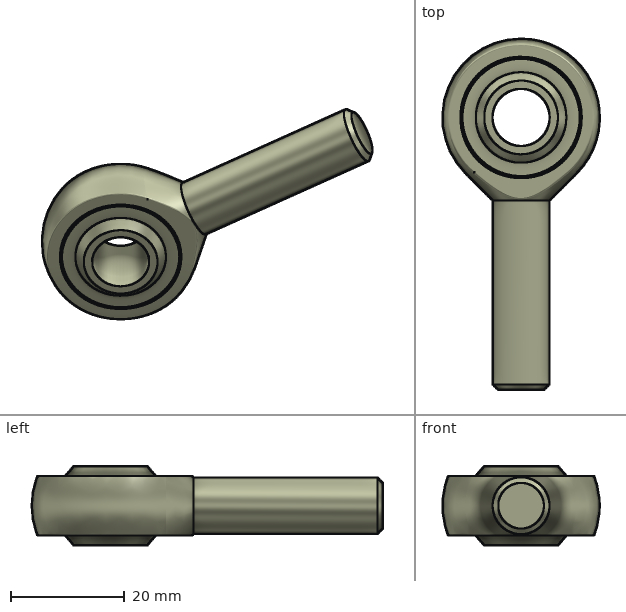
import cadquery as cq
import math

TOTAL_LENGTH = 61.9
HEAD_DIAMETER = 27.8
HEAD_THICKNESS = 10.5
HEAD_EDGE_FILLET = 0.4
SHANK_DIAMETER = 10.0
SHANK_TIP_CHAMFER = 1.0

RACE_DIAMETER = 21.05
JOINT_BEVEL = 0.2

BALL_WIDTH = 14.0
BORE_DIAMETER = 10.0
BALL_FACE_DIAMETER = 13.0
SHOULDER_DIAMETER = 16.0

head_radius = HEAD_DIAMETER / 2
half_thickness = HEAD_THICKNESS / 2
shank_radius = SHANK_DIAMETER / 2
shank_end_y = head_radius - TOTAL_LENGTH
shoulder_radius = SHOULDER_DIAMETER / 2
ball_radius = math.hypot(shoulder_radius, half_thickness)


def make_housing():
    """Spherical head with a 45 degree tangent neck and a round shank along -Y."""
    tangent_offset = head_radius * math.sqrt(0.5)
    neck_end_y = shank_radius - 2 * tangent_offset
    head = (
        cq.Workplane("XY")
        .moveTo(0, head_radius)
        .threePointArc((head_radius, 0), (tangent_offset, -tangent_offset))
        .lineTo(shank_radius, neck_end_y)
        .lineTo(0, neck_end_y)
        .close()
        .revolve(360, (0, 0, 0), (0, 1, 0))
    )
    slab = cq.Workplane("XY").box(2 * HEAD_DIAMETER, 2 * HEAD_DIAMETER, HEAD_THICKNESS)
    head = head.intersect(slab).faces("<Z or >Z").edges().fillet(HEAD_EDGE_FILLET)
    shank = (
        cq.Workplane("XZ", origin=(0, neck_end_y, 0))
        .circle(shank_radius)
        .extrude(neck_end_y - shank_end_y)
        .faces("<Y")
        .chamfer(SHANK_TIP_CHAMFER)
    )
    seat = cq.Workplane("XY").circle(RACE_DIAMETER / 2).extrude(half_thickness, both=True)
    housing = head.union(shank).cut(seat)
    seat_rims = cq.selectors.RadiusNthSelector(0)
    for face in ("<Z", ">Z"):
        housing = housing.faces(face).edges("%CIRCLE").edges(seat_rims).chamfer(JOINT_BEVEL)
    return housing


def make_race():
    """Ring with bevelled outer rims and a spherical seat for the ball."""
    ring = (
        cq.Workplane("XY")
        .circle(RACE_DIAMETER / 2)
        .extrude(half_thickness, both=True)
        .faces("<Z or >Z")
        .chamfer(JOINT_BEVEL)
    )
    return ring.cut(cq.Workplane("XY").sphere(ball_radius))


def make_ball():
    """Bored ball whose spherical middle runs into conical shoulders and flat ends."""
    bore_radius = BORE_DIAMETER / 2
    face_radius = BALL_FACE_DIAMETER / 2
    half_width = BALL_WIDTH / 2
    return (
        cq.Workplane("XZ")
        .moveTo(bore_radius, -half_width)
        .lineTo(face_radius, -half_width)
        .lineTo(shoulder_radius, -half_thickness)
        .threePointArc((ball_radius, 0), (shoulder_radius, half_thickness))
        .lineTo(face_radius, half_width)
        .lineTo(bore_radius, half_width)
        .close()
        .revolve(360, (0, 0, 0), (0, 1, 0))
    )


housing = make_housing()
race = make_race()
ball = make_ball()
result = cq.Compound.makeCompound([housing.val(), race.val(), ball.val()])